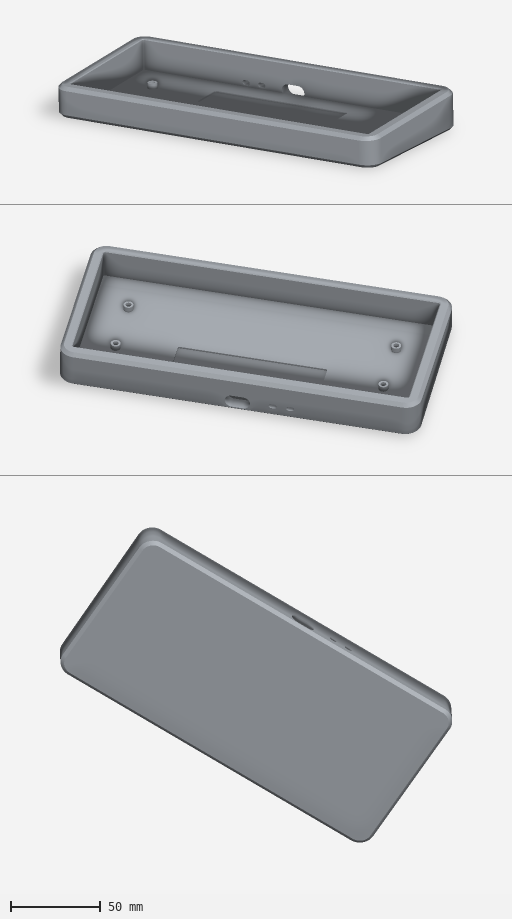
import cadquery as cq
import math

tilt = 3.0
outer_length = 205.5
outer_depth = 95.96
overall_height = 23.17
corner_radius = 9.0
edge_chamfer = 2.0

wall = 7.0
cavity_depth = 18.1
cavity_corner_radius = 1.0
rim_inner_chamfer = 0.5
bottom_thickness = 0.95

boss_diameter = 5.5
boss_hole_diameter = 3.2
boss_height = 3.3
boss_spacing_x = 152.4
boss_spacing_y = 33.4

pocket_length = 85.0
pocket_width = 20.0
pocket_floor_depth = 1.0
pocket_corner_radius = 1.0
pocket_centre_y = 18.0

port_width = 14.4
port_height = 8.0
port_centre_x = 0.1
small_slot_width = 4.6
small_slot_height = 2.9
small_slot_centres_x = (-30.0, -20.0)
small_slot_lift = 2.4
port_lift = 1.6

floor_level = -cavity_depth
cavity_length = outer_length - 2 * wall
cavity_width = outer_depth - 2 * wall
tilt_angle = math.radians(tilt)
rear_rim_edge_y = outer_depth / 2 - edge_chamfer
rim_centre_height = overall_height - rear_rim_edge_y * math.sin(tilt_angle)
blank_height = 2 * overall_height


def tilted(body):
    """Tilt a body about X so its rear rises, and lift its rim plane above the base."""
    return body.rotate((0, 0, 0), (1, 0, 0), tilt).translate((0, 0, rim_centre_height))


def half_space_above(height):
    """A block that covers everything above the given height."""
    size = 2 * outer_length
    return cq.Workplane("XY").workplane(offset=height).rect(size, size).extrude(size)


def rounded_block(length, width, radius, bottom, top):
    """A block on the Z axis with rounded upright edges."""
    block = cq.Workplane("XY").workplane(offset=bottom).rect(length, width).extrude(top - bottom)
    return block.edges("|Z").fillet(radius)


def make_body():
    """Outer block with a tilted rim, a level base and chamfers around both."""
    blank = rounded_block(outer_length, outer_depth, corner_radius, -blank_height, 0)
    blank = blank.faces(">Z").chamfer(edge_chamfer)
    body = tilted(blank).intersect(half_space_above(0))
    return body.faces("<Z").chamfer(edge_chamfer)


def make_cavity():
    """Cavity with a floor parallel to the rim that turns level where the base gets too thin."""
    cavity = rounded_block(cavity_length, cavity_width, cavity_corner_radius, floor_level, 0)
    return tilted(cavity).intersect(half_space_above(bottom_thickness))


def make_floor_pocket():
    """Shallow rectangular recess in the main floor."""
    pocket = rounded_block(
        pocket_length, pocket_width, pocket_corner_radius, floor_level - pocket_floor_depth, floor_level
    )
    return tilted(pocket.translate((0, pocket_centre_y, 0)))


def make_bosses():
    """Four hollow bosses standing on the main floor, each open down to the floor."""
    bosses = (
        cq.Workplane("XY")
        .workplane(offset=floor_level)
        .rarray(boss_spacing_x, boss_spacing_y, 2, 2)
        .circle(boss_diameter / 2)
        .circle(boss_hole_diameter / 2)
        .extrude(boss_height)
    )
    return tilted(bosses)


def rear_slot(width, height, centre_x, lift):
    """Round-ended slot through the rear wall, centred at the given height above the main floor."""
    inner_wall = cq.Workplane("XZ", origin=(centre_x, cavity_width / 2, floor_level + lift))
    return inner_wall.slot2D(width, height).extrude(-2 * wall)


def make_rear_openings():
    """One large slot and two small ones beside it."""
    openings = rear_slot(port_width, port_height, port_centre_x, port_lift)
    for centre_x in small_slot_centres_x:
        openings = openings.union(rear_slot(small_slot_width, small_slot_height, centre_x, small_slot_lift))
    return tilted(openings)


def make_tray():
    """Hollowed body with the inner edge of its rim eased."""
    tray = make_body().cut(make_cavity())
    rim_normal = cq.Vector(0, -math.sin(tilt_angle), math.cos(tilt_angle))
    rim = tray.faces(cq.selectors.DirectionMinMaxSelector(rim_normal))
    inner_edges = rim.val().innerWires()[0].Edges()
    return tray.newObject(inner_edges).chamfer(rim_inner_chamfer)


result = (
    make_tray()
    .cut(make_floor_pocket())
    .union(make_bosses())
    .cut(make_rear_openings())
)